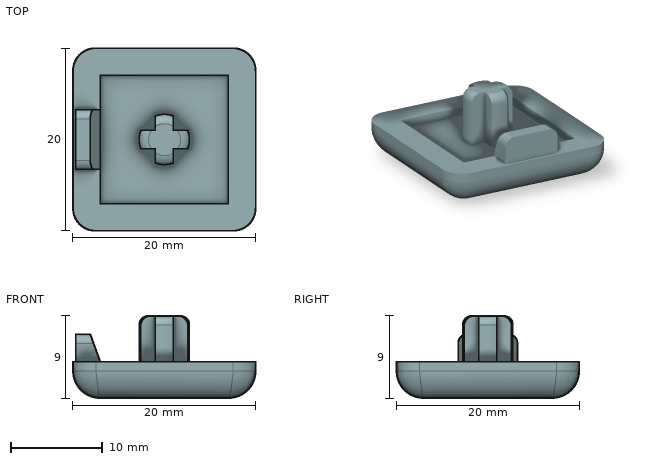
import cadquery as cq
import math

BASE_SIZE = 20.0
BASE_HEIGHT = 4.0
BASE_CORNER_RADIUS = 2.5
BASE_RIM_HEIGHT = 1.0
BASE_BOTTOM_RADIUS = BASE_HEIGHT - BASE_RIM_HEIGHT

POCKET_SIZE = 14.0
POCKET_DEPTH = 1.0
POCKET_FLOOR = BASE_HEIGHT - POCKET_DEPTH

POST_DIAMETER = 5.5
POST_ARM_WIDTH = 2.0
POST_TOP = 9.0
POST_TOP_RADIUS = 1.0
POST_HEIGHT = POST_TOP - POCKET_FLOOR

TAB_EDGE_GAP = 0.3
TAB_HEIGHT = 3.0
TAB_WIDTH = 6.5
TAB_TAPER_ANGLE = 20.0
TAB_CORNER_RADIUS = 1.0
TAB_OUTER_X = -BASE_SIZE / 2 + TAB_EDGE_GAP
TAB_INNER_X = -POCKET_SIZE / 2


def make_base():
    """Rounded square plate with a fully rounded underside and a top pocket."""
    plate = (
        cq.Workplane("XY")
        .rect(BASE_SIZE, BASE_SIZE)
        .extrude(BASE_HEIGHT)
        .edges("|Z")
        .fillet(BASE_CORNER_RADIUS)
        .faces("<Z")
        .edges()
        .fillet(BASE_BOTTOM_RADIUS)
    )
    pocket = (
        cq.Workplane("XY", origin=(0, 0, POCKET_FLOOR))
        .rect(POCKET_SIZE, POCKET_SIZE)
        .extrude(POCKET_DEPTH)
    )
    return plate.cut(pocket)


def make_post():
    """Round-topped cylinder trimmed to a cross of two equal arms."""
    floor = cq.Workplane("XY", origin=(0, 0, POCKET_FLOOR))
    cylinder = (
        floor.circle(POST_DIAMETER / 2)
        .extrude(POST_HEIGHT)
        .faces(">Z")
        .edges()
        .fillet(POST_TOP_RADIUS)
    )
    arm_x = floor.rect(POST_DIAMETER, POST_ARM_WIDTH).extrude(POST_HEIGHT)
    arm_y = floor.rect(POST_ARM_WIDTH, POST_DIAMETER).extrude(POST_HEIGHT)
    return cylinder.intersect(arm_x.union(arm_y))


def make_tab():
    """Tab with an upright outer face, sloped inner face and rounded upper corners."""
    top_z = BASE_HEIGHT + TAB_HEIGHT
    top_inner_x = TAB_INNER_X - TAB_HEIGHT * math.tan(math.radians(TAB_TAPER_ANGLE))
    profile = [
        (TAB_OUTER_X, BASE_HEIGHT),
        (TAB_INNER_X, BASE_HEIGHT),
        (top_inner_x, top_z),
        (TAB_OUTER_X, top_z),
    ]
    tapered = cq.Workplane("XZ").polyline(profile).close().extrude(TAB_WIDTH / 2, both=True)
    return tapered.faces(">Z").edges("|X").fillet(TAB_CORNER_RADIUS)


result = make_base().union(make_post()).union(make_tab())